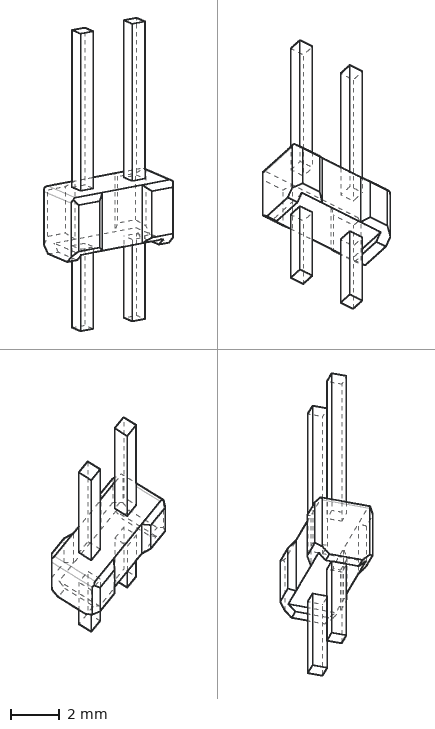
import cadquery as cq

pin_count = 2
pin_pitch = 2.54
pin_width = 0.64
pin_length = 12.7
pin_drop = 3.5

body_width = 2.03
body_length = 5.0
body_height = 2.49
end_round = 0.2

foot_height = 0.3
foot_length = 0.5

pad_rise = 0.25
pad_length = 1.52
pad_inner_bevel = 0.3
pad_outer_bevel = {-1: 0.34, 1: 0.19}


def make_body():
    """Plain housing block."""
    return cq.Workplane("XY").box(body_width, body_length, body_height, centered=(True, True, False))


def make_foot(end):
    """Foot under one end, its sides sloping inward at 45 degrees."""
    half_top = body_width / 2
    half_bottom = half_top - foot_height
    outline = [
        (-half_top, 0),
        (half_top, 0),
        (half_bottom, -foot_height),
        (-half_bottom, -foot_height),
    ]
    center_y = end * (body_length - foot_length) / 2
    return (
        cq.Workplane("XZ", origin=(0, center_y, 0))
        .polyline(outline)
        .close()
        .extrude(foot_length / 2, both=True)
    )


def make_pad(side, end):
    """Pad on one side face, bevelled on all four edges."""
    outer_bevel = pad_outer_bevel[side]
    center_y = end * (body_length - pad_length) / 2
    face_length = pad_length - pad_inner_bevel - outer_bevel
    face_shift = end * (pad_inner_bevel - outer_bevel) / 2
    base_plane = cq.Plane(
        origin=(side * body_width / 2, center_y, body_height / 2),
        xDir=(0, 1, 0),
        normal=(side, 0, 0),
    )
    return (
        cq.Workplane(base_plane)
        .rect(pad_length, body_height)
        .workplane(offset=pad_rise)
        .center(face_shift, 0)
        .rect(face_length, body_height - 2 * pad_rise)
        .loft(ruled=True)
    )


def make_rounded_envelope():
    """Block enclosing the housing, with both upper end edges rounded."""
    return (
        cq.Workplane("XY", origin=(0, 0, -foot_height))
        .box(
            body_width + 2 * pad_rise,
            body_length,
            body_height + foot_height,
            centered=(True, True, False),
        )
        .edges(">Z and |X")
        .fillet(end_round)
    )


def make_pin(index):
    """Straight square pin through the housing."""
    center_y = (index - (pin_count - 1) / 2) * pin_pitch
    return cq.Workplane("XY", origin=(0, center_y, -pin_drop)).box(
        pin_width, pin_width, pin_length, centered=(True, True, False)
    )


housing = make_body()
for end in (-1, 1):
    housing = housing.union(make_foot(end))
    for side in (-1, 1):
        housing = housing.union(make_pad(side, end))
housing = housing.intersect(make_rounded_envelope())

result = housing
for index in range(pin_count):
    result = result.union(make_pin(index))